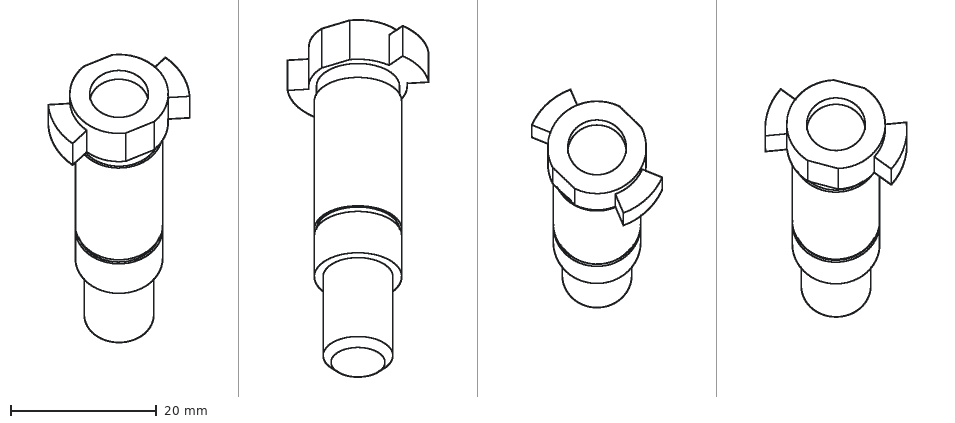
import cadquery as cq
import math

length = 51.75
head_height = 6.45
neck_height = 2.5
groove_bottom = 20.8
groove_height = 0.95
shoulder_level = 14.0
tip_chamfer = 1.1
head_bottom = length - head_height
neck_bottom = head_bottom - neck_height
groove_top = groove_bottom + groove_height

head_diameter = 13.5
body_diameter = 12.0
neck_diameter = 11.4
tip_diameter = 9.55

head_flat_width = 12.8
bore_diameter = 8.0
bore_depth = 2.0
lug_diameter = 19.45
lug_height = 4.95
lug_angle = 45.0


def cylinder(diameter, bottom, top):
    """Cylinder on the pin axis between two heights."""
    return cq.Workplane("XY").workplane(offset=bottom).circle(diameter / 2).extrude(top - bottom)


def make_shank():
    """Stepped shank with a chamfered tip, a narrow groove and a neck under the head."""
    tip = cylinder(tip_diameter, 0, shoulder_level).faces("<Z").chamfer(tip_chamfer)
    return (
        tip.union(cylinder(body_diameter, shoulder_level, groove_bottom))
        .union(cylinder(neck_diameter, groove_bottom, groove_top))
        .union(cylinder(body_diameter, groove_top, neck_bottom))
        .union(cylinder(neck_diameter, neck_bottom, head_bottom))
    )


def make_head():
    """Round head with two flats facing -X and +X."""
    flats = cq.Workplane("XY").box(head_flat_width, head_diameter, 2 * length)
    return cylinder(head_diameter, head_bottom, length).intersect(flats)


def make_lug(side):
    """Sector-shaped lug pointing along Y; side is +1 or -1."""
    radius = lug_diameter / 2
    half_angle = math.radians(lug_angle / 2)
    corner_x = radius * math.sin(half_angle)
    corner_y = side * radius * math.cos(half_angle)
    return (
        cq.Workplane("XY")
        .workplane(offset=head_bottom)
        .moveTo(0, 0)
        .lineTo(corner_x, corner_y)
        .threePointArc((0, side * radius), (-corner_x, corner_y))
        .close()
        .extrude(lug_height)
    )


result = make_shank().union(make_head())
for lug_side in (-1, 1):
    result = result.union(make_lug(lug_side))
result = result.cut(cylinder(bore_diameter, length - bore_depth, length))